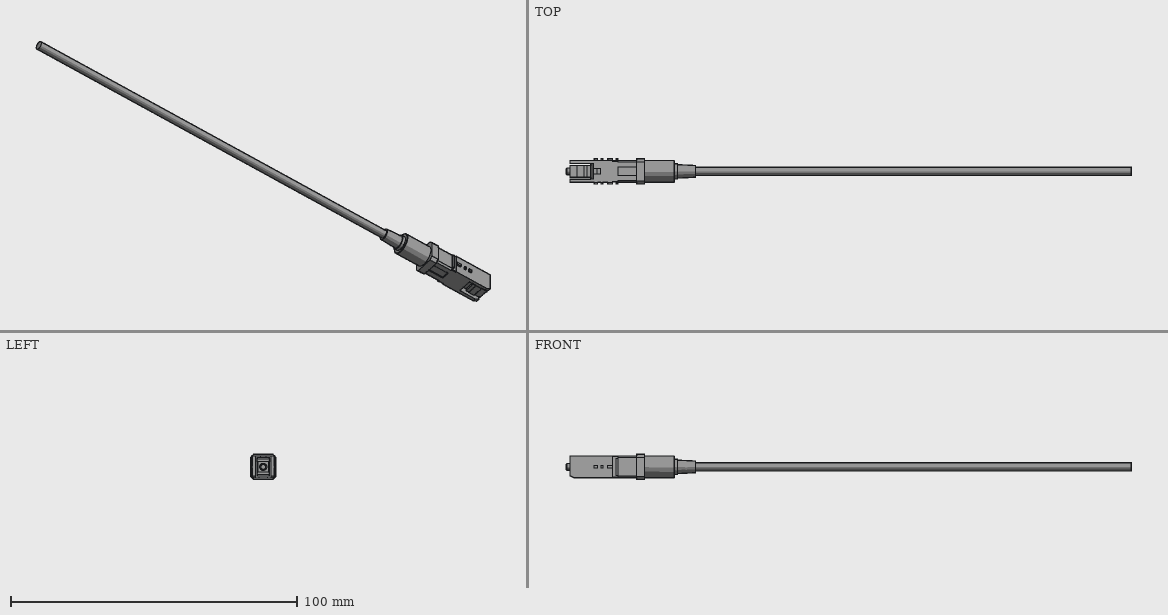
import cadquery as cq


overall_length = 197.66
flange_width = 8.89

housing_width = 7.74
housing_start = 1.3
grip_end = 16.3
collar_start = 18.1
flange_start = 24.7
flange_end = 27.5
collar_chamfer = 0.6
flange_chamfer = 1.1
waist_width = 7.54
waist_chamfer = 0.25
nose_length = 1.6
nose_rise = 0.75

window_width = 5.4
window_end = 9.6
ramp_length = 1.0
ramp_drop = 1.1
latch_width = 2.0
latch_middle = 10.8
latch_end = 12.0
latch_deep = 1.0
latch_shallow = 0.5
slot_width = 3.0
slot_depth = 0.5

side_ribs = [(9.8, 1.2), (12.2, 0.7), (14.5, 1.8)]
rib_height = 0.9
rim_length = 0.6
rim_height = 6.0

plug_width = 4.2
plug_end = 20.0
mouth_width = 3.6
mouth_depth = 2.5
nose_end = 3.8
nose_height = 5.4
band_end = 6.2
band_height = 6.4
lock_end = 7.4
lock_height = 6.0

ferrule_diameter = 2.5
ferrule_end = 12.0
ferrule_chamfer = 0.4

barrel_radius = housing_width / 2
barrel_end = 37.9
barrel_chamfer = 0.2
neck_radius = 2.75
neck_end = 39.0
tail_front_radius = 2.4
tail_rear_radius = 2.1
tail_end = 45.3

cable_diameter = 3.0


def block(start, end, width, height, middle_z=0):
    """A box along X, centred on Y = 0."""
    center = ((start + end) / 2, 0, middle_z)
    return cq.Workplane("XY").box(end - start, width, height).translate(center)


def rod(start, end, diameter):
    """A round bar on the X axis."""
    return cq.Workplane("YZ", origin=(start, 0, 0)).circle(diameter / 2).extrude(end - start)


def make_plug_solid():
    """The inner plug before its ferrule hole is drilled."""
    bar = block(housing_start, plug_end, plug_width, plug_width)
    nose = block(housing_start, nose_end, plug_width, nose_height)
    band = block(nose_end, band_end, plug_width, band_height)
    lock = block(band_end, lock_end, plug_width, lock_height)
    return bar.union(nose).union(band).union(lock)


def add_openings(housing):
    """Make the front window, its end ramp, the stepped latch notch and the collar slots."""
    top = housing_width / 2
    housing = housing.cut(block(housing_start, window_end, window_width, housing_width))

    ramp = (
        cq.Workplane("XZ")
        .moveTo(window_end, top)
        .lineTo(window_end, plug_width / 2)
        .lineTo(window_end - ramp_length, plug_width / 2)
        .lineTo(window_end - ramp_length, top - ramp_drop)
        .close()
        .extrude(window_width / 2, both=True)
    )
    housing = housing.union(ramp)

    for end, depth in [(latch_middle, latch_deep), (latch_end, latch_shallow)]:
        housing = housing.cut(block(window_end, end, latch_width, depth, top - depth / 2))

    for side in (1, -1):
        slot_z = side * (top - slot_depth / 2)
        housing = housing.cut(block(collar_start, flange_start, slot_width, slot_depth, slot_z))
    return housing


def make_housing():
    grip = block(housing_start, grip_end, housing_width, housing_width)
    bottom = -housing_width / 2
    nose_bevel = (
        cq.Workplane("XZ")
        .moveTo(housing_start, bottom)
        .lineTo(housing_start + nose_length, bottom)
        .lineTo(housing_start, bottom + nose_rise)
        .close()
        .extrude(housing_width, both=True)
    )
    grip = grip.cut(nose_bevel)
    waist = block(grip_end, collar_start, waist_width, housing_width)
    waist = waist.edges("|X").chamfer(waist_chamfer)
    collar = block(collar_start, flange_start, housing_width, housing_width)
    collar = collar.edges("|X").chamfer(collar_chamfer)
    flange = block(flange_start, flange_end, flange_width, flange_width)
    flange = flange.edges("|X").chamfer(flange_chamfer)
    housing = grip.union(waist).union(collar).union(flange)
    housing = add_openings(housing)

    rib_depth = (flange_width - window_width) / 2
    rib_y = (flange_width - rib_depth) / 2
    ribs = [(start, length, rib_height) for start, length in side_ribs]
    ribs.append((collar_start - rim_length, rim_length, rim_height))
    for start, length, height in ribs:
        for side in (1, -1):
            rib = block(start, start + length, rib_depth, height).translate((0, side * rib_y, 0))
            housing = housing.union(rib)

    return housing.cut(block(housing_start, plug_end, plug_width, plug_width))


def make_ferrule():
    return rod(0, ferrule_end, ferrule_diameter).faces("<X").chamfer(ferrule_chamfer)


def make_plug():
    mouth = block(housing_start, housing_start + mouth_depth, mouth_width, mouth_width)
    return make_plug_solid().cut(mouth).cut(rod(housing_start, ferrule_end, ferrule_diameter))


def make_boot():
    profile = [
        (flange_end, 0),
        (flange_end, barrel_radius),
        (barrel_end - barrel_chamfer, barrel_radius),
        (barrel_end, barrel_radius - barrel_chamfer),
        (barrel_end, neck_radius),
        (neck_end, neck_radius),
        (neck_end, tail_front_radius),
        (tail_end, tail_rear_radius),
        (tail_end, 0),
    ]
    boot = cq.Workplane("XY").polyline(profile).close().revolve(360, (0, 0, 0), (1, 0, 0))
    return boot.cut(rod(flange_end, tail_end, cable_diameter))


def make_cable():
    return rod(flange_end, overall_length, cable_diameter)


ferrule = make_ferrule()
plug = make_plug()
housing = make_housing()
boot = make_boot()
cable = make_cable()

result = cq.Compound.makeCompound([ferrule.val(), plug.val(), housing.val(), boot.val(), cable.val()])